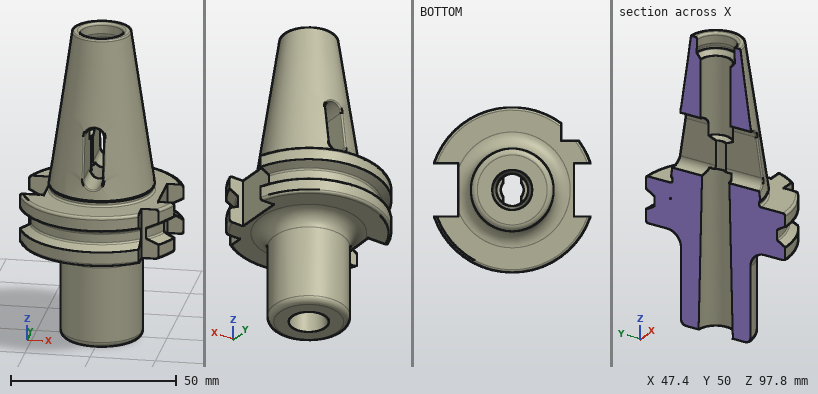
import cadquery as cq
import math


TOTAL_HEIGHT = 97.8
GAUGE_DIAMETER = 31.8
GAUGE_RADIUS = GAUGE_DIAMETER / 2
GAUGE_Z = 50.0
TAPER_SLOPE = 7 / 48
TAPER_BOTTOM_Z = 48.8
TIP_FILLET = 0.5

NECK_RADIUS = 15.6
NECK_TOP_Z = 48.2
NECK_FILLET = 0.6

FLANGE_DIAMETER = 50.0
FLANGE_RADIUS = FLANGE_DIAMETER / 2
FLANGE_BOTTOM_Z = 30.9
FLANGE_TOP_Z = 46.7
FLANGE_EDGE_FILLET = 0.9
GROOVE_FLOOR_RADIUS = 22.0
GROOVE_CENTER_Z = 38.9
GROOVE_MOUTH_WIDTH = 6.8
GROOVE_FLANK_ANGLE = 30.0
GROOVE_FILLET = 0.7

NOSE_RADIUS = 12.5
NOSE_BLEND = 5.0
NOSE_EDGE_FILLET = 2.0

DRIVE_SLOT_WIDTH = 16.0
DRIVE_SLOT_FLOOR_LEFT = 16.3
DRIVE_SLOT_FLOOR_RIGHT = 18.7
NOTCH_CORNER = 14.9

CUT_CLEARANCE = 1.0

MOUTH_RADIUS = 6.6
MOUTH_FILLET = 0.8
RELIEF_RADIUS = 6.8
RELIEF_START_DEPTH = 3.4
RELIEF_FULL_DEPTH = 4.5
RELIEF_END_DEPTH = 5.2
SEAT_DEPTH = 5.5
THREAD_RADIUS = 5.3
THREAD_LEAD_DEPTH = 7.0
THREAD_DEPTH = 33.4
DRILL_POINT_ANGLE = 30.0
LINK_HOLE_RADIUS = 3.4

SOCKET_MOUTH_RADIUS = 6.1
SOCKET_END_RADIUS = 4.8
SOCKET_DEPTH = 53.7

TANG_SLOT_WIDTH = 5.9
TANG_SLOT_BOTTOM_Z = 51.9
TANG_SLOT_TOP_Z = 70.9
TANG_SLOT_EDGE_FILLET = 0.4
RIM_SEARCH_MARGIN = 0.1


def taper_radius(z):
    return GAUGE_RADIUS - (z - GAUGE_Z) * TAPER_SLOPE


def turned_shank():
    """Solid nose, neck and taper, without the flange."""
    nose_blend_radius = NOSE_RADIUS + NOSE_BLEND
    return (
        cq.Workplane("XZ")
        .lineTo(NOSE_RADIUS - NOSE_EDGE_FILLET, 0)
        .radiusArc((NOSE_RADIUS, NOSE_EDGE_FILLET), -NOSE_EDGE_FILLET)
        .lineTo(NOSE_RADIUS, FLANGE_BOTTOM_Z - NOSE_BLEND)
        .radiusArc((nose_blend_radius, FLANGE_BOTTOM_Z), NOSE_BLEND)
        .lineTo(nose_blend_radius, FLANGE_TOP_Z)
        .lineTo(NECK_RADIUS + NECK_FILLET, FLANGE_TOP_Z)
        .radiusArc((NECK_RADIUS, FLANGE_TOP_Z + NECK_FILLET), NECK_FILLET)
        .lineTo(NECK_RADIUS, NECK_TOP_Z)
        .lineTo(taper_radius(TAPER_BOTTOM_Z), TAPER_BOTTOM_Z)
        .lineTo(taper_radius(TOTAL_HEIGHT), TOTAL_HEIGHT)
        .lineTo(0, TOTAL_HEIGHT)
        .close()
        .revolve(360, (0, 0), (0, 1))
        .faces(">Z")
        .edges()
        .fillet(TIP_FILLET)
    )


def grooved_flange():
    """Full round flange with the V groove around its rim."""
    groove_half_mouth = GROOVE_MOUTH_WIDTH / 2
    flank_rise = (FLANGE_RADIUS - GROOVE_FLOOR_RADIUS) * math.tan(math.radians(GROOVE_FLANK_ANGLE))
    groove_half_floor = groove_half_mouth - flank_rise

    flange = (
        cq.Workplane("XY", origin=(0, 0, FLANGE_BOTTOM_Z))
        .circle(FLANGE_RADIUS)
        .extrude(FLANGE_TOP_Z - FLANGE_BOTTOM_Z)
        .edges()
        .fillet(FLANGE_EDGE_FILLET)
    )
    outside_radius = FLANGE_RADIUS + CUT_CLEARANCE
    groove = (
        cq.Workplane("XZ")
        .moveTo(GROOVE_FLOOR_RADIUS, GROOVE_CENTER_Z - groove_half_floor)
        .lineTo(FLANGE_RADIUS, GROOVE_CENTER_Z - groove_half_mouth)
        .lineTo(outside_radius, GROOVE_CENTER_Z - groove_half_mouth)
        .lineTo(outside_radius, GROOVE_CENTER_Z + groove_half_mouth)
        .lineTo(FLANGE_RADIUS, GROOVE_CENTER_Z + groove_half_mouth)
        .lineTo(GROOVE_FLOOR_RADIUS, GROOVE_CENTER_Z + groove_half_floor)
        .close()
        .revolve(360, (0, 0), (0, 1))
        .edges(cq.selectors.RadiusNthSelector(0))
        .fillet(GROOVE_FILLET)
    )
    return flange.cut(groove)


def flange_cutter(x_min, x_max, y_min, y_max):
    """Block through the flange and the blend just below it."""
    bottom_z = FLANGE_BOTTOM_Z - NOSE_BLEND
    size = (x_max - x_min, y_max - y_min, FLANGE_TOP_Z - bottom_z)
    return cq.Workplane("XY").box(*size, centered=False).translate((x_min, y_min, bottom_z))


def rim_cutters():
    reach = FLANGE_RADIUS + CUT_CLEARANCE
    half_width = DRIVE_SLOT_WIDTH / 2
    left = flange_cutter(-reach, -DRIVE_SLOT_FLOOR_LEFT, -half_width, half_width)
    right = flange_cutter(DRIVE_SLOT_FLOOR_RIGHT, reach, -half_width, half_width)
    notch = flange_cutter(NOTCH_CORNER, reach, -reach, -NOTCH_CORNER)
    return left.union(right).union(notch)


def bore():
    """Socket, link hole and tip bore as one turned cutter."""
    thread_end_z = TOTAL_HEIGHT - THREAD_DEPTH
    point_drop = (THREAD_RADIUS - LINK_HOLE_RADIUS) * math.tan(math.radians(DRILL_POINT_ANGLE))
    return (
        cq.Workplane("XZ")
        .lineTo(SOCKET_MOUTH_RADIUS, 0)
        .lineTo(SOCKET_END_RADIUS, SOCKET_DEPTH)
        .lineTo(LINK_HOLE_RADIUS, SOCKET_DEPTH)
        .lineTo(LINK_HOLE_RADIUS, thread_end_z - point_drop)
        .lineTo(THREAD_RADIUS, thread_end_z)
        .lineTo(THREAD_RADIUS, TOTAL_HEIGHT - THREAD_LEAD_DEPTH)
        .lineTo(MOUTH_RADIUS, TOTAL_HEIGHT - SEAT_DEPTH)
        .lineTo(RELIEF_RADIUS, TOTAL_HEIGHT - RELIEF_END_DEPTH)
        .lineTo(RELIEF_RADIUS, TOTAL_HEIGHT - RELIEF_FULL_DEPTH)
        .lineTo(MOUTH_RADIUS, TOTAL_HEIGHT - RELIEF_START_DEPTH)
        .lineTo(MOUTH_RADIUS, TOTAL_HEIGHT - MOUTH_FILLET)
        .radiusArc((MOUTH_RADIUS + MOUTH_FILLET, TOTAL_HEIGHT), MOUTH_FILLET)
        .lineTo(0, TOTAL_HEIGHT)
        .close()
        .revolve(360, (0, 0), (0, 1))
    )


def tang_slot():
    middle_z = (TANG_SLOT_BOTTOM_Z + TANG_SLOT_TOP_Z) / 2
    return (
        cq.Workplane("XZ", origin=(0, 0, middle_z))
        .slot2D(TANG_SLOT_TOP_Z - TANG_SLOT_BOTTOM_Z, TANG_SLOT_WIDTH, 90)
        .extrude(FLANGE_RADIUS, both=True)
    )


def cut_tang_slot(solid_shank):
    """Cut the tang slot and round its two rims on the taper surface."""
    half_width = TANG_SLOT_WIDTH / 2 + RIM_SEARCH_MARGIN
    rim_box = cq.selectors.BoxSelector(
        (-half_width, -GAUGE_RADIUS, TANG_SLOT_BOTTOM_Z - RIM_SEARCH_MARGIN),
        (half_width, GAUGE_RADIUS, TANG_SLOT_TOP_Z + RIM_SEARCH_MARGIN),
        boundingbox=True,
    )
    slotted = solid_shank.cut(tang_slot())
    return slotted.edges(rim_box).edges("not(|Y)").fillet(TANG_SLOT_EDGE_FILLET)


body = cut_tang_slot(turned_shank()).union(grooved_flange())
result = body.cut(rim_cutters()).cut(bore())